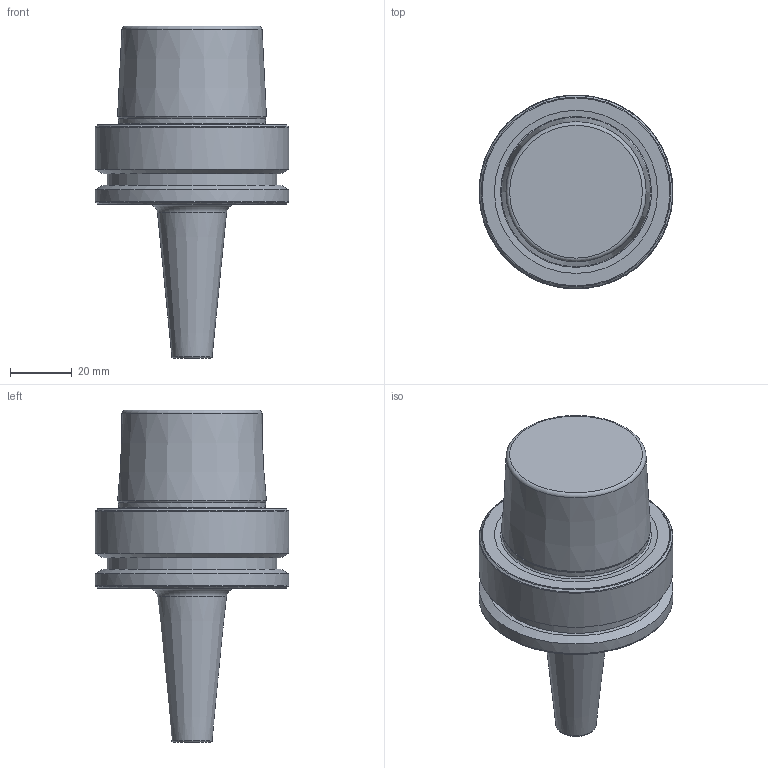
import cadquery as cq
import math

SHANK_LENGTH = 32.0
FLANGE_LENGTH = 26.0
TIP_Z = -75.9

TOLERANCE = 1e-4

GAUGE_RADIUS = 24.0
GAUGE_Z = 6.3
SHANK_SLOPE = 1 / 20
SHANK_BASE_Z = 2.5
SHANK_TOP_ROUND = 1.2

NECK_RADIUS = 23.9
NECK_TOP_Z = 1.9
NECK_FOOT_FILLET = 0.55

RECESS_RADIUS = 26.5
RECESS_DEPTH = 0.3

FLANGE_RADIUS = 31.5
FLANGE_CHAMFER = 0.8
RIM_ROUND = 0.4
GROOVE_RADIUS = 27.5
GROOVE_CENTRE_Z = -17.9
GROOVE_WIDTH = 3.75
GROOVE_CHAMFER_HEIGHT = 1.5
GROOVE_CHAMFER_ANGLE = 60.0

NOSE_TIP_RADIUS = 6.5
NOSE_SLOPE = 1 / 10
NOSE_ROOT_RADIUS = NOSE_TIP_RADIUS + NOSE_SLOPE * (-FLANGE_LENGTH - TIP_Z)
NOSE_ROOT_FILLET = 3.0
TIP_ROUND = 0.5


def shank_radius(z):
    return GAUGE_RADIUS - SHANK_SLOPE * (z - GAUGE_Z)


def round_circle(solid, radius, z, fillet_radius):
    """Fillet the one circular edge that has this radius and height."""
    def is_match(edge):
        if edge.geomType() != "CIRCLE":
            return False
        same_height = abs(edge.arcCenter().z - z) < TOLERANCE
        return same_height and abs(edge.radius() - radius) < TOLERANCE

    return solid.edges().filter(is_match).fillet(fillet_radius)


def make_shank():
    """Tapered shank with a rounded top edge, standing on its relief neck."""
    profile = (
        cq.Workplane("XZ")
        .moveTo(0, -RECESS_DEPTH)
        .lineTo(NECK_RADIUS, -RECESS_DEPTH)
        .lineTo(NECK_RADIUS, NECK_TOP_Z)
        .lineTo(shank_radius(SHANK_BASE_Z), SHANK_BASE_Z)
        .lineTo(shank_radius(SHANK_LENGTH), SHANK_LENGTH)
        .lineTo(0, SHANK_LENGTH)
        .close()
    )
    shank = profile.revolve(360, (0, 0), (0, 1))
    return shank.faces(">Z").edges().fillet(SHANK_TOP_ROUND)


def make_flange():
    """Round flange with softened rim chamfers and a shallow recess in its face."""
    profile = (
        cq.Workplane("XZ")
        .moveTo(0, -RECESS_DEPTH)
        .lineTo(NECK_RADIUS, -RECESS_DEPTH)
        .lineTo(RECESS_RADIUS, 0)
        .lineTo(FLANGE_RADIUS - FLANGE_CHAMFER, 0)
        .lineTo(FLANGE_RADIUS, -FLANGE_CHAMFER)
        .lineTo(FLANGE_RADIUS, FLANGE_CHAMFER - FLANGE_LENGTH)
        .lineTo(FLANGE_RADIUS - FLANGE_CHAMFER, -FLANGE_LENGTH)
        .lineTo(0, -FLANGE_LENGTH)
        .close()
    )
    flange = profile.revolve(360, (0, 0), (0, 1))
    rim_points = [
        (FLANGE_RADIUS - FLANGE_CHAMFER, 0),
        (FLANGE_RADIUS, -FLANGE_CHAMFER),
        (FLANGE_RADIUS, FLANGE_CHAMFER - FLANGE_LENGTH),
        (FLANGE_RADIUS - FLANGE_CHAMFER, -FLANGE_LENGTH),
    ]
    for radius, z in rim_points:
        flange = round_circle(flange, radius, z, RIM_ROUND)
    return flange


def make_groove():
    """Ring to cut from the flange: straight slot with a flared mouth."""
    half_width = GROOVE_WIDTH / 2
    half_mouth = half_width + GROOVE_CHAMFER_HEIGHT
    flare_depth = GROOVE_CHAMFER_HEIGHT * math.tan(math.radians(GROOVE_CHAMFER_ANGLE))
    flare_radius = FLANGE_RADIUS - flare_depth
    profile = (
        cq.Workplane("XZ")
        .moveTo(GROOVE_RADIUS, GROOVE_CENTRE_Z - half_width)
        .lineTo(flare_radius, GROOVE_CENTRE_Z - half_width)
        .lineTo(FLANGE_RADIUS, GROOVE_CENTRE_Z - half_mouth)
        .lineTo(FLANGE_RADIUS, GROOVE_CENTRE_Z + half_mouth)
        .lineTo(flare_radius, GROOVE_CENTRE_Z + half_width)
        .lineTo(GROOVE_RADIUS, GROOVE_CENTRE_Z + half_width)
        .close()
    )
    return profile.revolve(360, (0, 0), (0, 1))


def make_nose():
    """Cone widening from the rounded tip up to the underside of the flange."""
    profile = (
        cq.Workplane("XZ")
        .moveTo(0, TIP_Z)
        .lineTo(NOSE_TIP_RADIUS, TIP_Z)
        .lineTo(NOSE_ROOT_RADIUS, -FLANGE_LENGTH)
        .lineTo(0, -FLANGE_LENGTH)
        .close()
    )
    nose = profile.revolve(360, (0, 0), (0, 1))
    return nose.faces("<Z").edges().fillet(TIP_ROUND)


holder = make_flange().cut(make_groove()).union(make_nose()).union(make_shank())
holder = round_circle(holder, NOSE_ROOT_RADIUS, -FLANGE_LENGTH, NOSE_ROOT_FILLET)
result = round_circle(holder, NECK_RADIUS, -RECESS_DEPTH, NECK_FOOT_FILLET)